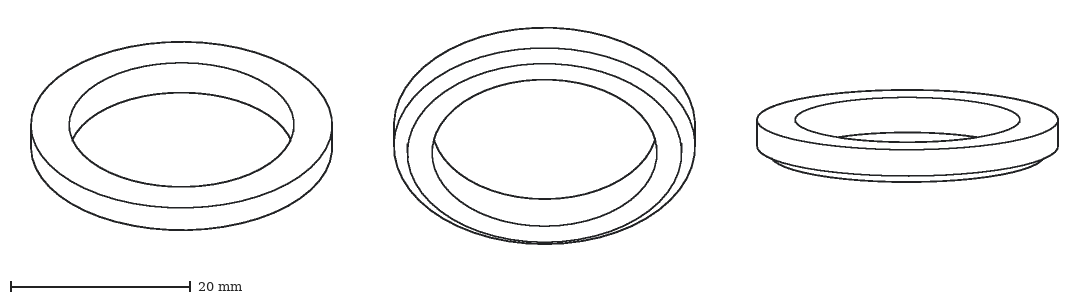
import cadquery as cq

outer_diameter = 33.5
bore_diameter = 25.0
total_height = 4.0

lip_diameter = 30.5
lip_height = 1.0
ring_height = total_height - lip_height

root_fillet_radius = 0.1

lip = cq.Workplane("XY").circle(lip_diameter / 2).extrude(lip_height)
ring = (
    cq.Workplane("XY")
    .workplane(offset=lip_height)
    .circle(outer_diameter / 2)
    .extrude(ring_height)
)
body = ring.union(lip)

root_corner = cq.selectors.RadiusNthSelector(0)
body = body.faces("<Z[1]").edges(root_corner).fillet(root_fillet_radius)

bore = cq.Workplane("XY").circle(bore_diameter / 2).extrude(total_height)

result = body.cut(bore)